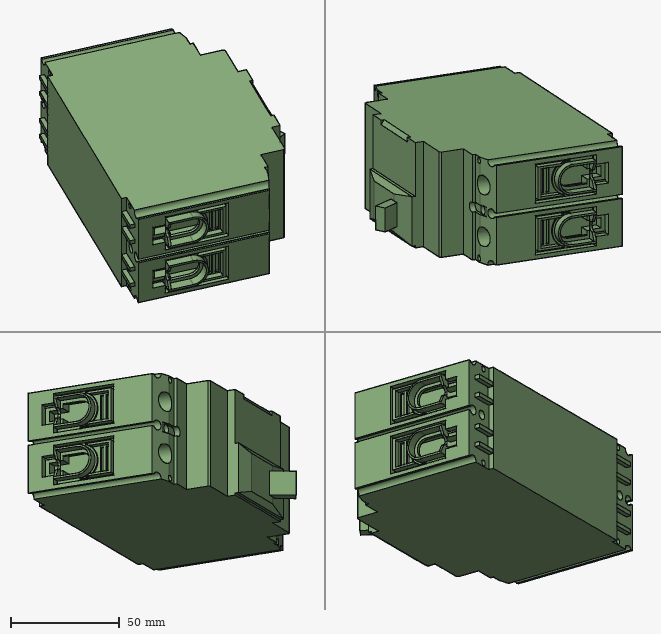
import cadquery as cq


BODY_WIDTH = 51.0
HALF_WIDTH = BODY_WIDTH / 2
POLE_PITCH = 25.0
POLE_CENTRES = (-POLE_PITCH / 2, POLE_PITCH / 2)
END_X = 65.1
COLLAR_X = 134.4 / 2

BASE_HALF_LENGTH = 49.3
FOOT_Y = 2.5
END_TOP_Y = 66.6
SHOULDER_X, SHOULDER_Y = 54.5, 69.9
LEDGE_X, LEDGE_Y = 49.8, 71.5
COVER_X, COVER_Y = 40.2, 83.4
COVER_CHAMFER = 0.8
TOP_X, TOP_Y = 22.5, 87.5

PLATFORM_Y = 89.1
PLATFORM_WIDTH = 24.0
PLATFORM_Z = POLE_CENTRES[0]
CROWN_Y = 91.2
CROWN_X_RANGE = (-7.5, 13.5)
CROWN_WIDTH = 18.4
LEVER_TILT = 30.0
LEVER_TIP_Y = 101.93
LEVER_TIP_X = -10.5
LEVER_THICKNESS = 5.3
LEVER_WIDTH = 11.6
LEVER_LENGTH = 16.0
BEVEL_HALF_LENGTH = 13.9
BEVEL_HEIGHT = 1.6
BEVEL_DEPTH = 2.2

RIB_END_X = 60.2
RIB_BOTTOM_Y = 0.1
RIB_THICKNESS = 2.05
RIB_SPACING = 9.05
RIB_PAIR_Z = 12.4
RIB_SLOT_WIDTH = 0.8
RIB_SLOT_DEPTH = 2.0
KEYHOLE_X = 61.85
KEYHOLE_RADIUS = 2.3
KEYHOLE_MOUTH = 2.05
EDGE_GROOVE_Z = 25.1
MOUNT_HOLE_X = 54.9
MOUNT_HOLE_RADIUS = 2.2
CORNER_HOLE_X, CORNER_HOLE_Z = 53.5, 23.65
CORNER_HOLE_RADIUS = 1.35
NOTCH_WIDTH = 4.6
NOTCH_FLOOR_Y = 68.6
NOTCH_CENTRE_X = 49.0
SCREW_HOLE_X = 56.5
SCREW_HOLE_RADIUS = 4.6
SCREW_HOLE_DEPTH = 10.0

TERMINAL_Y = 28.6
COLLAR_END_Y = 16.6
COLLAR_RADIUS = 7.4
MOUTH_END_Y = 17.85
MOUTH_RADIUS = 6.4
MOUTH_FLOOR_X = 62.5
BORE_END_Y = 19.1
BORE_RADIUS = 4.75
BORE_FLOOR_X = 56.5
CHAMBER_X = 61.0
CHAMBER_TOP_Y = 38.0
CHAMBER_WIDTH = 12.0
OPENING_Y_RANGE = (15.7, 46.65)
OPENING_WIDTH = 19.0
OPENING_FLOOR_X = 61.8
FRAME_TOP_Y = 45.4
FRAME_WIDTH = 15.7
WING_TOP_Y = 28.2
WING_WIDTH = 17.5
WING_X = 63.0
PAD_Y_RANGE = (34.3, 43.8)
PAD_WIDTH = 13.5
PAD_ARC_RADIUS = 8.5
PAD_FLOOR_X = 62.2
PAD_SLOTS_Y = ((41.15, 43.05), (38.3, 39.75))
PAD_SLOT_WIDTH = 12.0
PAD_SLOT_DEPTH = 1.0
TAB_END_Y = 9.55
TAB_WIDTH = 9.95
TAB_FLOOR_WIDTH = 8.4
TAB_FLOOR_DEPTH = 0.3
BLADE_SLOT_END_Y = 11.6
BLADE_SLOT_WIDTH = 5.0


def box(x_range, y_range, z_range):
    """Axis-aligned box between the given limits."""
    sizes = [high - low for low, high in (x_range, y_range, z_range)]
    corner = (x_range[0], y_range[0], z_range[0])
    return cq.Workplane("XY").box(*sizes, centered=False).translate(corner)


def end_block(face_x, floor_x, y_range, z_middle, width):
    """Box on the -X end, from the plane -face_x inwards to -floor_x."""
    z_range = (z_middle - width / 2, z_middle + width / 2)
    return box((-face_x, -floor_x), y_range, z_range)


def end_arch(face_x, floor_x, end_y, z_middle, radius):
    """Round-topped prism on the -X end, square at its lower end."""
    return (
        cq.Workplane("YZ", origin=(-face_x, 0, z_middle))
        .moveTo(end_y, -radius)
        .lineTo(TERMINAL_Y, -radius)
        .threePointArc((TERMINAL_Y + radius, 0), (TERMINAL_Y, radius))
        .lineTo(end_y, radius)
        .close()
        .extrude(face_x - floor_x)
    )


def upright(x, z, radius, y_range):
    """Cylinder along Y."""
    length = y_range[1] - y_range[0]
    return cq.Workplane("XZ", origin=(x, y_range[0], z)).circle(radius).extrude(-length)


def half_body():
    """Stepped half of the housing on the -X side."""
    return (
        cq.Workplane("XY", origin=(0, 0, -HALF_WIDTH))
        .moveTo(0, 0)
        .lineTo(-BASE_HALF_LENGTH, 0)
        .lineTo(-BASE_HALF_LENGTH, FOOT_Y)
        .lineTo(-END_X, FOOT_Y)
        .lineTo(-END_X, END_TOP_Y)
        .lineTo(-SHOULDER_X, SHOULDER_Y)
        .lineTo(-LEDGE_X, SHOULDER_Y)
        .lineTo(-LEDGE_X, LEDGE_Y)
        .lineTo(-COVER_X, LEDGE_Y)
        .lineTo(-COVER_X, COVER_Y - COVER_CHAMFER)
        .lineTo(-COVER_X + COVER_CHAMFER, COVER_Y)
        .lineTo(-TOP_X, COVER_Y)
        .lineTo(-TOP_X, TOP_Y)
        .lineTo(0, TOP_Y)
        .close()
        .extrude(BODY_WIDTH)
    )


def add_feet(body):
    """Pairs of ribs under the overhanging end, with a slot between each pair."""
    rib_y = (RIB_BOTTOM_Y, FOOT_Y)
    for pair_z in (-RIB_PAIR_Z, RIB_PAIR_Z):
        for rib_z in (pair_z - RIB_SPACING / 2, pair_z + RIB_SPACING / 2):
            body = body.union(
                end_block(RIB_END_X, BASE_HALF_LENGTH, rib_y, rib_z, RIB_THICKNESS)
            )
        slot_y = (FOOT_Y, FOOT_Y + RIB_SLOT_DEPTH)
        slot_width = RIB_SPACING - RIB_THICKNESS
        slot_start_x = BASE_HALF_LENGTH + RIB_SLOT_WIDTH
        body = body.cut(end_block(slot_start_x, BASE_HALF_LENGTH, slot_y, pair_z, slot_width))
    return body


def cut_end_grooves(body):
    """Keyhole grooves along Y between the poles and on both outer edges."""
    y_range = (0, LEDGE_Y)
    for groove_z in (-EDGE_GROOVE_Z, 0, EDGE_GROOVE_Z):
        body = body.cut(upright(-KEYHOLE_X, groove_z, KEYHOLE_RADIUS, y_range))
        body = body.cut(end_block(END_X, KEYHOLE_X, y_range, groove_z, KEYHOLE_MOUTH))
    return body


def cut_upright_holes(body):
    """Mounting, corner and terminal screw holes, all along Y."""
    through = (0, LEDGE_Y)
    body = body.cut(upright(-MOUNT_HOLE_X, 0, MOUNT_HOLE_RADIUS, through))
    for side in (-1, 1):
        body = body.cut(upright(-CORNER_HOLE_X, side * CORNER_HOLE_Z, CORNER_HOLE_RADIUS, through))
    notch_y = (NOTCH_FLOOR_Y, LEDGE_Y)
    body = body.cut(end_block(END_X, NOTCH_CENTRE_X, notch_y, 0, NOTCH_WIDTH))
    body = body.cut(upright(-NOTCH_CENTRE_X, 0, NOTCH_WIDTH / 2, notch_y))
    screw_y = (SHOULDER_Y - SCREW_HOLE_DEPTH, SHOULDER_Y)
    for pole_z in POLE_CENTRES:
        body = body.cut(upright(-SCREW_HOLE_X, pole_z, SCREW_HOLE_RADIUS, screw_y))
    return body


def pad_recess(pole_z):
    """Recess above the collar, with an arc around the terminal mouth as its lower edge."""
    recess = end_block(END_X, PAD_FLOOR_X, PAD_Y_RANGE, pole_z, PAD_WIDTH)
    return recess.cut(end_arch(END_X, PAD_FLOOR_X, COLLAR_END_Y, pole_z, PAD_ARC_RADIUS))


def collar_relief(pole_z):
    """Lowered band around the collar, level with the wings."""
    return end_arch(END_X, WING_X, COLLAR_END_Y, pole_z, PAD_ARC_RADIUS)


def driver_notch(pole_z):
    """Flared notch with a round bottom through the lower end wall of the collar."""
    neck_half = BLADE_SLOT_WIDTH / 2
    neck_x = MOUTH_FLOOR_X + neck_half
    return (
        cq.Workplane("XZ", origin=(0, COLLAR_END_Y, pole_z))
        .moveTo(-COLLAR_X, -MOUTH_RADIUS)
        .lineTo(-neck_x, -neck_half)
        .threePointArc((-MOUTH_FLOOR_X, 0), (-neck_x, neck_half))
        .lineTo(-COLLAR_X, MOUTH_RADIUS)
        .close()
        .extrude(COLLAR_END_Y - MOUTH_END_Y)
    )


def add_terminal(body, pole_z):
    """Wire terminal of one pole: framed insert, projecting collar and stepped mouth."""
    body = body.cut(end_block(END_X, OPENING_FLOOR_X, OPENING_Y_RANGE, pole_z, OPENING_WIDTH))
    frame_y = (WING_TOP_Y, FRAME_TOP_Y)
    body = body.union(end_block(END_X, OPENING_FLOOR_X, frame_y, pole_z, FRAME_WIDTH))
    wing_y = (COLLAR_END_Y, WING_TOP_Y)
    body = body.union(end_block(WING_X, OPENING_FLOOR_X, wing_y, pole_z, WING_WIDTH))

    body = body.cut(pad_recess(pole_z))
    body = body.cut(collar_relief(pole_z))
    for slot_y in PAD_SLOTS_Y:
        slot_floor_x = PAD_FLOOR_X - PAD_SLOT_DEPTH
        body = body.cut(end_block(PAD_FLOOR_X, slot_floor_x, slot_y, pole_z, PAD_SLOT_WIDTH))

    body = body.union(end_arch(COLLAR_X, OPENING_FLOOR_X, COLLAR_END_Y, pole_z, COLLAR_RADIUS))
    body = body.cut(end_arch(COLLAR_X, MOUTH_FLOOR_X, MOUTH_END_Y, pole_z, MOUTH_RADIUS))
    body = body.cut(end_arch(COLLAR_X, CHAMBER_X, BORE_END_Y, pole_z, BORE_RADIUS))
    chamber_y = (BORE_END_Y, CHAMBER_TOP_Y)
    body = body.cut(end_block(CHAMBER_X, BORE_FLOOR_X, chamber_y, pole_z, CHAMBER_WIDTH))

    body = body.cut(driver_notch(pole_z))

    tab_y = (TAB_END_Y, OPENING_Y_RANGE[0])
    body = body.cut(end_block(END_X, OPENING_FLOOR_X, tab_y, pole_z, TAB_WIDTH))
    floor_y = (TAB_END_Y, COLLAR_END_Y)
    tab_floor_x = OPENING_FLOOR_X - TAB_FLOOR_DEPTH
    body = body.cut(end_block(OPENING_FLOOR_X, tab_floor_x, floor_y, pole_z, TAB_FLOOR_WIDTH))
    blade_y = (BLADE_SLOT_END_Y, BORE_END_Y)
    return body.cut(end_block(MOUTH_FLOOR_X, BORE_FLOOR_X, blade_y, pole_z, BLADE_SLOT_WIDTH))


def lever_platform():
    """Raised platform over the lower pole with a tapered crown."""
    half = PLATFORM_WIDTH / 2
    z_range = (PLATFORM_Z - half, PLATFORM_Z + half)
    straight = box((-TOP_X, TOP_X), (TOP_Y, PLATFORM_Y), z_range)
    crown_length = CROWN_X_RANGE[1] - CROWN_X_RANGE[0]
    crown_middle = sum(CROWN_X_RANGE) / 2
    crown = (
        cq.Workplane("XZ", origin=(0, PLATFORM_Y, PLATFORM_Z))
        .rect(2 * TOP_X, PLATFORM_WIDTH)
        .workplane(offset=PLATFORM_Y - CROWN_Y)
        .center(crown_middle, 0)
        .rect(crown_length, CROWN_WIDTH)
        .loft(ruled=True)
    )
    return straight.union(crown)


def lever():
    """Tilted rectangular lever, placed by its highest corner."""
    return (
        box((-LEVER_THICKNESS, 0), (-LEVER_LENGTH, 0), (-LEVER_WIDTH / 2, LEVER_WIDTH / 2))
        .rotate((0, 0, 0), (0, 0, 1), LEVER_TILT)
        .translate((LEVER_TIP_X, LEVER_TIP_Y, PLATFORM_Z))
    )


def top_bevel():
    """Wedge removed from the +Z edge of the top."""
    return (
        cq.Workplane("YZ", origin=(-BEVEL_HALF_LENGTH, 0, 0))
        .moveTo(TOP_Y, HALF_WIDTH)
        .lineTo(TOP_Y - BEVEL_HEIGHT, HALF_WIDTH)
        .lineTo(TOP_Y, HALF_WIDTH - BEVEL_DEPTH)
        .close()
        .extrude(2 * BEVEL_HALF_LENGTH)
    )


half = add_feet(half_body())
half = cut_end_grooves(half)
half = cut_upright_holes(half)
for centre in POLE_CENTRES:
    half = add_terminal(half, centre)

housing = half.union(half.mirror("YZ"))
result = housing.cut(top_bevel()).union(lever_platform()).union(lever()).clean()